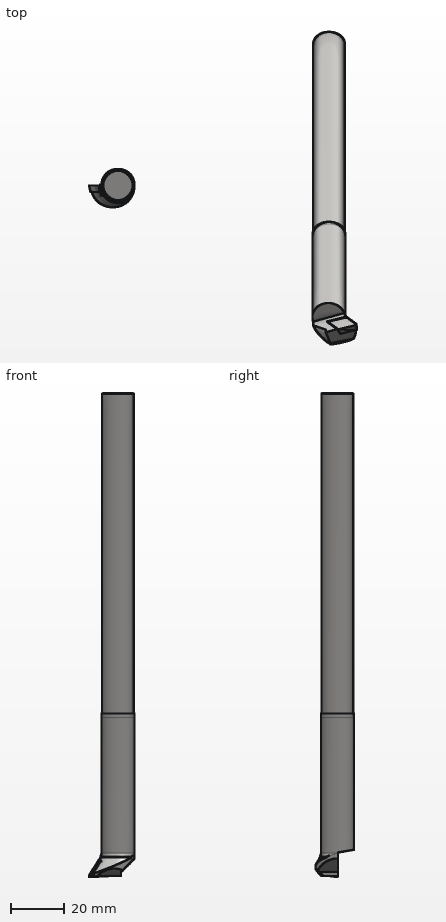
import cadquery as cq
import math


overall_length = 181.25
shank_diameter = 12.0
shank_end_diameter = 11.0
shank_chamfer_angle = 30.0
shank_length = 119.9
neck_diameter = 12.45
neck_lead_in_diameter = 12.4
neck_lead_in_length = 1.5
neck_bottom_z = 9.0

shank_radius = shank_diameter / 2
shank_end_radius = shank_end_diameter / 2
neck_radius = neck_diameter / 2
neck_lead_in_radius = neck_lead_in_diameter / 2
shank_bottom_z = overall_length - shank_length
shank_chamfer_height = (shank_radius - shank_end_radius) * math.tan(math.radians(shank_chamfer_angle))

overall_width = 17.1
overall_depth = 14.45
flare_angle = 30.0
flare_fillet_radius = 2.5
collar_length = 0.4
head_bottom_z = 0.35
clearance_radius = overall_depth - neck_radius
clearance_center_x = neck_radius - clearance_radius

rake_flat_y = 0.3
rake_end_z = 9.2
rake_end_angle = 10.0
back_face_x = 1.2
back_slope_angle = 45.0
back_slope_top_z = 7.0
heel_start_y = -5.9
heel_angle = 45.0
heel_start_x = -7.7
heel_tilt_angle = 5.0
shoulder_x = -6.75
shoulder_depth = 2.9
flank_setback = 0.25
flank_angle = 12.0

insert_circle_diameter = 6.35
insert_thickness = 2.38
insert_point_angle = 55.0
insert_clearance_angle = 7.0
insert_nose_radius = 0.4
insert_edge_angle = 3.0
tip_x = neck_radius - overall_width

insert_side = insert_circle_diameter / math.sin(math.radians(insert_point_angle))
flank_edge_angle = insert_edge_angle + insert_point_angle

cut_margin = 20.0


def direction(angle):
    """Unit vector in the XZ plane, measured from +X toward +Z."""
    return cq.Vector(math.cos(math.radians(angle)), math.sin(math.radians(angle)))


def insert_corners():
    """Sharp corners of the insert's top face as (X, Z), starting at the cutting tip."""
    bisector = direction(insert_edge_angle + insert_point_angle / 2)
    nose_center = cq.Vector(tip_x + insert_nose_radius, insert_nose_radius)
    tip = nose_center - bisector * (insert_nose_radius / math.sin(math.radians(insert_point_angle / 2)))
    bottom_edge = direction(insert_edge_angle) * insert_side
    flank_edge = direction(flank_edge_angle) * insert_side
    corners = [tip, tip + bottom_edge, tip + bottom_edge + flank_edge, tip + flank_edge]
    return [(corner.x, corner.y) for corner in corners]


def make_insert():
    """Insert with its rake face at Y = 0, tapering toward its seat, and both points rounded."""
    blank = (
        cq.Workplane("XZ")
        .polyline(insert_corners())
        .close()
        .extrude(insert_thickness, taper=insert_clearance_angle)
    )
    return blank.edges("not #Y").edges("<X or >X").fillet(insert_nose_radius)


def make_bar():
    """Turned bar: chamfered shank, neck with a slim lead-in taper, fillet, collar and flared head."""
    flare = math.radians(flare_angle)
    fillet_bottom_z = neck_bottom_z - flare_fillet_radius * math.sin(flare)
    fillet_bottom_radius = neck_radius + flare_fillet_radius * (1 - math.cos(flare))
    fillet_middle = (
        neck_radius + flare_fillet_radius * (1 - math.cos(flare / 2)),
        neck_bottom_z - flare_fillet_radius * math.sin(flare / 2),
    )
    flare_top_z = fillet_bottom_z - collar_length
    flare_bottom_radius = fillet_bottom_radius + (flare_top_z - head_bottom_z) * math.tan(flare)
    return (
        cq.Workplane("XZ")
        .moveTo(0, overall_length)
        .lineTo(shank_end_radius, overall_length)
        .lineTo(shank_radius, overall_length - shank_chamfer_height)
        .lineTo(shank_radius, shank_bottom_z)
        .lineTo(neck_lead_in_radius, shank_bottom_z)
        .lineTo(neck_radius, shank_bottom_z - neck_lead_in_length)
        .lineTo(neck_radius, neck_bottom_z)
        .threePointArc(fillet_middle, (fillet_bottom_radius, fillet_bottom_z))
        .lineTo(fillet_bottom_radius, flare_top_z)
        .lineTo(flare_bottom_radius, head_bottom_z)
        .lineTo(0, head_bottom_z)
        .close()
        .revolve(360, (0, 0), (0, 1))
    )


def clearance_ring():
    """Everything on the head outside the off-centre clearance cylinder."""
    return (
        cq.Workplane("XY", origin=(clearance_center_x, 0, head_bottom_z))
        .circle(clearance_radius + cut_margin)
        .circle(clearance_radius)
        .extrude(neck_bottom_z - head_bottom_z)
    )


def rake_cut():
    """Open space in front of the rake face, closed at the top by a sloping end."""
    slope_rise = (cut_margin - rake_flat_y) * math.tan(math.radians(rake_end_angle))
    return (
        cq.Workplane("YZ")
        .polyline(
            [
                (rake_flat_y, 0),
                (rake_flat_y, rake_end_z),
                (cut_margin, rake_end_z + slope_rise),
                (cut_margin, 0),
            ]
        )
        .close()
        .extrude(cut_margin, both=True)
    )


def back_cut():
    """Sloping back of the head, ending in a short vertical face."""
    slope_bottom_z = back_slope_top_z - (neck_radius - back_face_x) * math.tan(math.radians(back_slope_angle))
    slope_rise = (cut_margin - back_face_x) * math.tan(math.radians(back_slope_angle))
    return (
        cq.Workplane("XZ")
        .polyline(
            [
                (back_face_x, 0),
                (back_face_x, slope_bottom_z),
                (cut_margin, slope_bottom_z + slope_rise),
                (cut_margin, 0),
            ]
        )
        .close()
        .extrude(cut_margin, both=True)
    )


def heel_cut():
    """Relief under the heel, rising toward -Y and tilted up toward +X."""
    heel_drop = (cut_margin - heel_start_y) * math.tan(math.radians(heel_angle))
    heel_rise = (heel_start_y + cut_margin) * math.tan(math.radians(heel_angle))
    return (
        cq.Workplane("YZ")
        .polyline(
            [
                (cut_margin, head_bottom_z - heel_drop),
                (-cut_margin, head_bottom_z + heel_rise),
                (-cut_margin, -cut_margin),
                (cut_margin, -cut_margin),
            ]
        )
        .close()
        .extrude(cut_margin, both=True)
        .rotate((heel_start_x, 0, head_bottom_z), (heel_start_x, 1, head_bottom_z), -heel_tilt_angle)
    )


def shoulder_cut():
    """Small vertical flat beside the neck, just above the insert."""
    shoulder_bottom_z = insert_corners()[3][1]
    return cq.Workplane("XY").box(
        cut_margin, shoulder_depth + rake_flat_y, neck_bottom_z - shoulder_bottom_z, centered=False
    ).translate((shoulder_x - cut_margin, -shoulder_depth, shoulder_bottom_z))


def flank_cut():
    """Flat on the head below the insert's side flank, set back from it and leaning inward."""
    tip_corner = insert_corners()[0]
    return (
        cq.Workplane("XY")
        .box(insert_side, 2 * cut_margin, cut_margin, centered=(False, True, False))
        .translate((0, 0, -flank_setback))
        .rotate((0, 0, 0), (1, 0, 0), flank_angle)
        .rotate((0, 0, 0), (0, 1, 0), -flank_edge_angle)
        .translate((tip_corner[0], 0, tip_corner[1]))
    )


def insert_access():
    """Opening in the head directly in front of the insert's rake face."""
    return cq.Workplane("XZ").polyline(insert_corners()).close().extrude(-rake_flat_y)


insert = make_insert()
holder = make_bar()
for cut in (clearance_ring(), rake_cut(), back_cut(), heel_cut(), shoulder_cut(), flank_cut()):
    holder = holder.cut(cut)
holder = holder.cut(insert_access()).cut(insert)

result = cq.Compound.makeCompound([holder.val(), insert.val()])